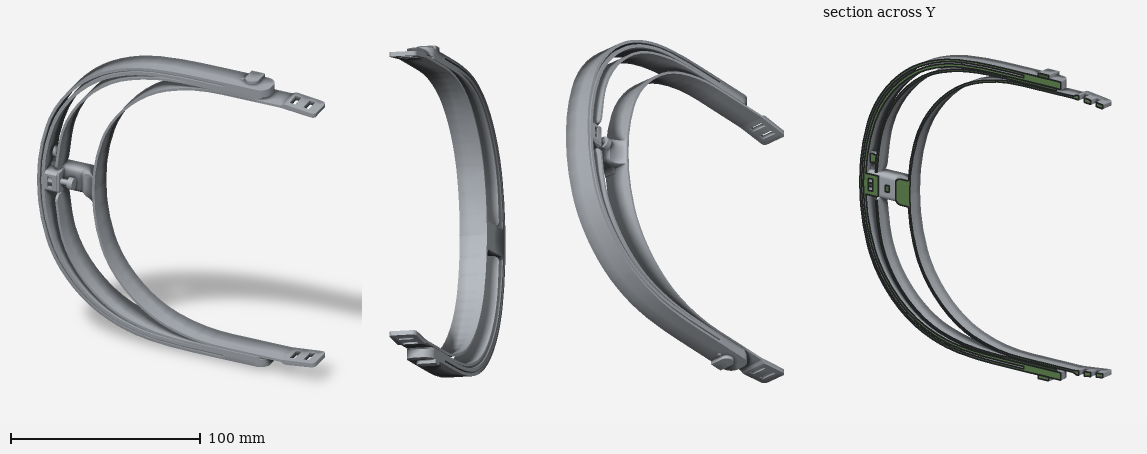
import cadquery as cq
import math

WIDTH = 15.0
FRONT_Y = -WIDTH / 2
OVERALL_LENGTH = 161.5
OVERALL_HEIGHT = 170.4
BUTTON_HEIGHT = 2.0

TEMPLE_Z = OVERALL_HEIGHT / 2 - BUTTON_HEIGHT
OUTER_FACE = ((0.0, 0.0, 0.0), (5.6, 35.3, 18.1), (37.8, 73.1, 62.6), (100.9, TEMPLE_Z, 90.0))
SECOND_FACE = ((2.4, 0.0, 0.0), (8.5, 35.6, 19.6), (43.5, 73.1, 66.4), (100.9, 80.5, 90.0))
SPRING_FACE = ((10.2, 0.0, 0.0), (13.1, 28.1, 11.6), (52.1, 72.7, 70.9), (100.9, 78.7, 90.0))
INNER_FACE = ((32.0, 0.0, 0.0), (37.1, 32.2, 18.2), (75.0, 71.4, 69.9), (107.8, 77.0, 90.0))
OUTER_THICKNESS = 1.5
SECOND_THICKNESS = 1.9
SPRING_THICKNESS = 1.4
INNER_THICKNESS = 1.4

SLIT_END = 108.5
BLOCK_END = 133.4
BLOCK_CORNER = 5.8
SPRING_END = 130.5
SPRING_CORNER = 3.2
SPRING_GAP = 7.7

TIP_START = 141.7
TIP_CREST = (143.8, 145.3)
TIP_RISE = 1.0
TIP_THICKNESS = 2.4
TIP_DROOP = 7.0
TIP_CORNER = 2.4
WINDOW_CENTRES = (147.0, 155.0)
WINDOW_LENGTH = 3.2
WINDOW_WIDTH = 8.3

BRIDGE_HALF = 7.3
BRIDGE_FRONT = 0.0
BRIDGE_EDGE = 2.7
BUMPER_START = 22.5
BUMPER_STEP = 2.0
FLARE_Y = -6.8
WEB_FILLET = 2.7
WEB_ROOT = 0.9

HOLDER_END = 11.2
HOLDER_FRONT_HALF = 4.6
HOLDER_BACK_HALF = 6.0
HOLDER_BEVEL = 1.2
LIP_END = 12.5
LIP_STEP = 0.9
SCREW_HEAD_DIAMETER = 6.5
SCREW_HEAD_START = 17.0
SCREW_HEAD_END = 20.0
SCREW_DIAMETER = 3.0
NUT_CORNERS = 6.5
NUT_START = 6.0
NUT_THICKNESS = 2.7
SCREW_Y = -4.0

BUTTON_START = 118.0
BUTTON_WIDTH = 7.7
PIN_DIAMETER = 2.4
PIN_X = 116.2
PIN_PROUD = 0.5
STUD_Z = 15.2
STUD_X = 7.0
STUD_DISCS = ((6.0, 1.7), (6.5, 0.7), (5.5, 3.4))

SIDES = (1, -1)


def apex_x(face):
    return face[0][0]


def temple_z(face):
    return face[-1][1]


def inward(face, depth):
    """The face parallel to `face`, moved `depth` towards the wearer."""
    return [
        (x + depth * math.cos(math.radians(slope)), z - depth * math.sin(math.radians(slope)), slope)
        for x, z, slope in face
    ]


def inside_of(face, x_end):
    """Everything enclosed by a face, up to x_end, over the full width."""
    points = [(x, z) for x, z, _ in face]
    tangents = [(math.sin(math.radians(slope)), math.cos(math.radians(slope))) for _, _, slope in face]
    upper = (
        cq.Workplane("XZ")
        .moveTo(*points[0])
        .spline(points[1:], tangents=tangents, includeCurrent=True)
        .lineTo(x_end, temple_z(face))
        .lineTo(x_end, 0)
        .close()
        .extrude(WIDTH / 2, both=True)
    )
    return upper.union(upper.mirror("XY"))


def strap(face, thickness, x_end):
    return inside_of(face, x_end).cut(inside_of(inward(face, thickness), x_end))


def box(x_range, y_range, z_range):
    sizes = [high - low for low, high in (x_range, y_range, z_range)]
    corner = cq.Vector(x_range[0], y_range[0], z_range[0])
    return cq.Workplane(cq.Solid.makeBox(*sizes, corner))


def rod(diameter, x_start, x_end):
    """A cylinder along X on the screw's axis."""
    start = cq.Vector(x_start, SCREW_Y, 0)
    return cq.Workplane(cq.Solid.makeCylinder(diameter / 2, x_end - x_start, start, cq.Vector(1, 0, 0)))


def rounded_plan(x_end, corner):
    """A tall block that trims a strap to x_end with rounded corners."""
    plan = box((-1.7, x_end), (FRONT_Y, -FRONT_Y), (-OVERALL_HEIGHT, OVERALL_HEIGHT))
    return plan.edges("|Z and >X").fillet(corner)


def double_strap():
    outer = strap(OUTER_FACE, OUTER_THICKNESS, BLOCK_END)
    second = strap(SECOND_FACE, SECOND_THICKNESS, BLOCK_END)
    block_bottom = temple_z(SECOND_FACE) - SECOND_THICKNESS
    body = outer
    for side in SIDES:
        z_range = sorted((side * block_bottom, side * TEMPLE_Z))
        body = body.union(box((SLIT_END, BLOCK_END), (FRONT_Y, -FRONT_Y), z_range))
    return body.union(second).intersect(rounded_plan(BLOCK_END, BLOCK_CORNER))


def strap_tip():
    """The thick, drooping upper end of the inner strap, with its two windows."""
    top = temple_z(INNER_FACE)
    droop = math.radians(TIP_DROOP)
    peak_z = top + TIP_RISE
    end_z = peak_z - (OVERALL_LENGTH - TIP_CREST[1]) * math.tan(droop)
    under_end = (OVERALL_LENGTH - TIP_THICKNESS * math.sin(droop), end_z - TIP_THICKNESS * math.cos(droop))
    tip = (
        cq.Workplane("XZ")
        .moveTo(TIP_START, top - INNER_THICKNESS)
        .lineTo(TIP_START, top)
        .lineTo(TIP_CREST[0], peak_z)
        .lineTo(TIP_CREST[1], peak_z)
        .lineTo(OVERALL_LENGTH, end_z)
        .lineTo(*under_end)
        .close()
        .extrude(WIDTH / 2, both=True)
    )
    for x in WINDOW_CENTRES:
        window = cq.Workplane("XY").center(x, 0).rect(WINDOW_LENGTH, WINDOW_WIDTH).extrude(OVERALL_HEIGHT)
        tip = tip.cut(window)
    return tip.intersect(rounded_plan(OVERALL_LENGTH, TIP_CORNER))


def inner_strap():
    tip = strap_tip()
    return strap(INNER_FACE, INNER_THICKNESS, TIP_START).union(tip).union(tip.mirror("XY"))


def bridge():
    """The web from the second strap to the inner strap, with a bumper that flares into the strap."""
    x_second = apex_x(SECOND_FACE) + SECOND_THICKNESS
    x_start = x_second - SECOND_THICKNESS / 2
    x_inner = apex_x(INNER_FACE)
    x_end = x_inner + INNER_THICKNESS / 2
    bumper_y = BRIDGE_FRONT - BUMPER_STEP
    flare_start = BUMPER_START + BUMPER_STEP
    flare_run = x_inner - flare_start
    flare_drop = bumper_y - FLARE_Y
    flare_radius = (flare_run**2 + flare_drop**2) / (2 * flare_drop)
    half_turn = math.asin(flare_run / flare_radius) / 2
    flare_middle = (flare_start + flare_radius * math.sin(half_turn),
                    bumper_y - flare_radius * (1 - math.cos(half_turn)))
    web = (
        cq.Workplane("XY")
        .moveTo(x_start, -FRONT_Y)
        .lineTo(x_start, BRIDGE_FRONT)
        .lineTo(BUMPER_START, BRIDGE_FRONT)
        .lineTo(flare_start, bumper_y)
        .threePointArc(flare_middle, (x_inner, FLARE_Y))
        .lineTo(x_end, FLARE_Y)
        .lineTo(x_end, -FRONT_Y)
        .close()
        .extrude(BRIDGE_HALF, both=True)
    )
    front_edges = cq.selectors.BoxSelector(
        (x_second, FRONT_Y, -WIDTH), (x_inner + INNER_THICKNESS / 4, BRIDGE_FRONT + 0.2, WIDTH))
    web = web.edges(front_edges).edges("#Z").fillet(BRIDGE_EDGE)
    for side in SIDES:
        web = web.union(corner_fillet(x_second, 1, side, BRIDGE_FRONT + BRIDGE_EDGE))
        web = web.union(corner_fillet(x_inner, -1, side, bumper_y + BRIDGE_EDGE))
    return web


def corner_fillet(x_strap, direction, side, y_front):
    """Fills the corner between the bridge's side and a strap whose face looks along `direction` in X."""
    bow = WEB_FILLET * (1 - math.sqrt(0.5))
    x_tip = x_strap + direction * WEB_FILLET
    x_bow = x_strap + direction * bow
    x_root = x_strap - direction * WEB_ROOT
    z_base = side * BRIDGE_HALF
    z_bow = side * (BRIDGE_HALF + bow)
    z_tip = side * (BRIDGE_HALF + WEB_FILLET)
    z_root = side * (BRIDGE_HALF - WEB_ROOT)
    return (
        cq.Workplane("XZ", origin=(0, -FRONT_Y, 0))
        .moveTo(x_tip, z_base)
        .threePointArc((x_bow, z_bow), (x_strap, z_tip))
        .lineTo(x_root, z_tip)
        .lineTo(x_root, z_root)
        .lineTo(x_tip, z_root)
        .close()
        .extrude(-FRONT_Y - y_front)
    )


def nut_holder():
    """A block with bevelled sides in front of the bridge, with a lip on its inner end."""
    def section(x_end, front):
        shoulder_y = FRONT_Y + HOLDER_BEVEL
        outline = [
            (front, HOLDER_FRONT_HALF), (shoulder_y, HOLDER_BACK_HALF), (BRIDGE_EDGE, HOLDER_BACK_HALF),
            (BRIDGE_EDGE, -HOLDER_BACK_HALF), (shoulder_y, -HOLDER_BACK_HALF), (front, -HOLDER_FRONT_HALF),
        ]
        x_start = apex_x(SECOND_FACE) + SECOND_THICKNESS / 2
        return (
            cq.Workplane("YZ", origin=(x_start, 0, 0))
            .polyline(outline)
            .close()
            .extrude(x_end - x_start)
        )
    return section(HOLDER_END, FRONT_Y).union(section(LIP_END, FRONT_Y + LIP_STEP))


def make_frame():
    body = double_strap().union(inner_strap()).union(bridge()).union(nut_holder())
    half = NUT_CORNERS / 2
    pocket = box((NUT_START, NUT_START + NUT_THICKNESS), (FRONT_Y, SCREW_Y + half), (-half, half))
    body = body.cut(pocket).cut(rod(SCREW_DIAMETER, NUT_START, LIP_END))
    for side in SIDES:
        body = body.cut(make_pin(side))
    return body


def make_spring(side):
    """One half of the spring strap, with rounded corners at both ends."""
    z_range = sorted((side * SPRING_GAP, side * OVERALL_HEIGHT))
    half = strap(SPRING_FACE, SPRING_THICKNESS, SPRING_END).intersect(
        box((0, SPRING_END), (FRONT_Y, -FRONT_Y), z_range))
    brow_corners = box((0, SPRING_END), (FRONT_Y, -FRONT_Y), z_range)
    brow_corners = brow_corners.edges("|X").fillet(SPRING_CORNER)
    half = half.intersect(brow_corners).intersect(rounded_plan(SPRING_END, SPRING_CORNER))
    return half.cut(make_pin(side))


def make_pin(side):
    """A pin through the temple block and the spring strap."""
    bottom = temple_z(SPRING_FACE) - SPRING_THICKNESS
    start = cq.Vector(PIN_X, 0, side * bottom)
    length = TEMPLE_Z + PIN_PROUD - bottom
    return cq.Workplane(cq.Solid.makeCylinder(PIN_DIAMETER / 2, length, start, cq.Vector(0, 0, side)))


def make_button(side):
    """A tab on the temple block, square at the back edge and round at the front."""
    radius = BUTTON_WIDTH / 2
    return (
        cq.Workplane("XY", origin=(BUTTON_START, 0, side * TEMPLE_Z))
        .moveTo(0, -FRONT_Y)
        .lineTo(0, 0)
        .threePointArc((radius, -radius), (BUTTON_WIDTH, 0))
        .lineTo(BUTTON_WIDTH, -FRONT_Y)
        .close()
        .extrude(side * BUTTON_HEIGHT)
    )


def make_screw():
    head = rod(SCREW_HEAD_DIAMETER, SCREW_HEAD_START, SCREW_HEAD_END)
    return head.union(rod(SCREW_DIAMETER, NUT_START, SCREW_HEAD_START))


def make_nut():
    """A hexagonal nut with one corner towards the front."""
    nut = (
        cq.Workplane("YZ", origin=(NUT_START, SCREW_Y, 0))
        .polygon(6, NUT_CORNERS)
        .extrude(NUT_THICKNESS)
    )
    return nut.cut(rod(SCREW_DIAMETER, NUT_START, NUT_START + NUT_THICKNESS))


def make_stud():
    """A stepped stud along X that stands on the outer face of the upper half spring."""
    x = STUD_X
    stud = cq.Workplane()
    for diameter, thickness in STUD_DISCS:
        start = cq.Vector(x, 0, STUD_Z)
        stud = stud.union(cq.Workplane(cq.Solid.makeCylinder(diameter / 2, thickness, start, cq.Vector(1, 0, 0))))
        x += thickness
    return stud.cut(inside_of(SPRING_FACE, SPRING_END))


frame = make_frame()
springs = [make_spring(side) for side in SIDES]
pins = [make_pin(side) for side in SIDES]
buttons = [make_button(side) for side in SIDES]
screw = make_screw()
nut = make_nut()
stud = make_stud()

result = cq.Compound.makeCompound(
    [frame.val(), screw.val(), nut.val(), stud.val()]
    + [part.val() for part in springs + pins + buttons]
)